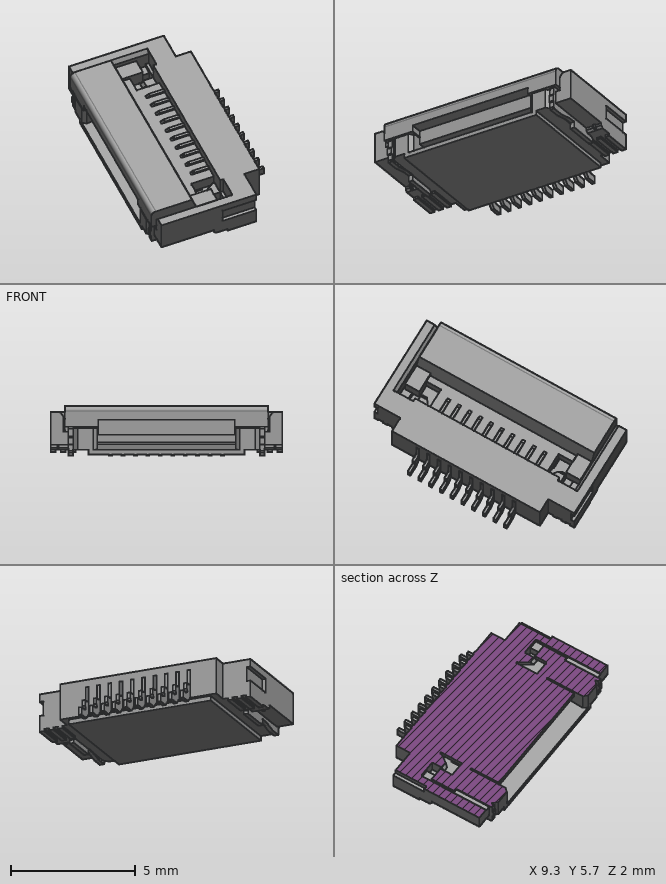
import cadquery as cq


total_height = 2.0
housing_top = 1.76
housing_bottom = 0.23

housing_half_width = 4.65
arm_front = 0.195
shoulder_rear = 4.34
rear_half_width = 3.44
rear_face = 5.0
arm_bottom = 0.43
arm_bottom_rear = 2.49
arm_bottom_chamfer = 0.09
nub_front = 2.34
nub_half_width = 0.03
nub_center = 4.35
base_half_width = 3.13
base_rear = 4.845
base_bottom = 0.04

recess_depth = 0.16
recess_front = 2.86
recess_bottom = 0.83
recess_top = 1.43

foot_bottom = 0.14
foot_front = 3.09
foot_width = 0.2
foot_pitch = 0.4
feet_per_side = 3

block_half_width = 3.75
block_chamfer = 0.19
block_top = 1.09

opening_half_width = 4.14
opening_chamfer_width = 0.14
opening_chamfer_height = 0.18
opening_rear = 3.32
corner_inner = 3.36
corner_rear = 3.46
shelf_top = 0.97
ear_top = 1.02
ear_front = 2.88
ear_toe = 2.75
ear_toe_inner = 3.13
ear_curve_point = (2.79, 3.25)
ear_corner = (2.83, 3.18)
pit_floor = 0.86
well_floor = 0.56
step_floor = 0.88

slot_half_width = 2.78
slot_mouth_half_width = 2.94
slot_mouth_depth = 0.16
slot_ceiling = 0.83
ramp_top = 0.46
ramp_rear = 2.05
slot_step_top = 0.54
slot_rear = 2.79
side_gap_rear = 1.86

lid_half_width = 4.07
lid_bottom = 1.15
lid_round = 0.195
lid_top_rear = 1.78
lid_bevel_rear = 2.03
lid_arm_inner = 3.41
lid_arm_rear = 2.89
lid_arm_top = 1.47
tongue_half_width = 2.73
tongue_front = 0.53
tongue_top = 1.34
bar_rear = 2.325
notch_top = 1.43

contact_count = 10
contact_row_span = 4.48
contact_width = 0.13
contact_embed = 0.09
contact_tail_end = 5.7
solder_front = 5.23
solder_top = 0.32
tail_fillet = 0.15
tail_fillet_rear = 5.41
tail_fillet_top = 0.41
tail_notch_rear = 5.28
tail_knee_rear = 5.35
tail_knee_bottom = 0.5
tail_knee_top = 0.75
stem_rear = 5.03
stem_fillet = 0.1
stem_top = 1.43
contact_front = 2.52
contact_bevel = 0.15
contact_top = 1.41

plate_thickness = 0.19
plate_front = 0.06
plate_bump_front = 0.01
plate_toe = 0.12
plate_rear = 2.86
pad_front = 1.6
pad_rear = 3.0
plate_inner = block_half_width
plate_outer = plate_inner + plate_thickness


def box(x0, x1, y0, y1, z0, z1):
    return cq.Workplane("XY").box(x1 - x0, y1 - y0, z1 - z0, centered=False).translate((x0, y0, z0))


def wide_box(half_width, y0, y1, z0, z1):
    return box(-half_width, half_width, y0, y1, z0, z1)


def side_profile(points, x0, x1):
    """Extrude a (Y, Z) outline from x0 to x1."""
    return cq.Workplane("YZ").polyline(points).close().extrude(x1 - x0).translate((x0, 0, 0))


def plan_profile(points, z0, z1):
    """Extrude an (X, Y) outline from z0 to z1."""
    return cq.Workplane("XY").polyline(points).close().extrude(z1 - z0).translate((0, 0, z0))


def both_sides(solid):
    return solid.union(solid.mirror("YZ"))


def housing_shell():
    shell = wide_box(housing_half_width, arm_front, shoulder_rear, housing_bottom, housing_top)
    shell = shell.union(wide_box(rear_half_width, shoulder_rear, rear_face, housing_bottom, housing_top))
    arm_relief = side_profile(
        [
            (arm_front, housing_bottom),
            (arm_front, arm_bottom),
            (arm_bottom_rear, arm_bottom),
            (arm_bottom_rear, housing_bottom + arm_bottom_chamfer),
            (arm_bottom_rear + arm_bottom_chamfer, housing_bottom),
        ],
        block_half_width,
        housing_half_width,
    )
    recess = box(
        housing_half_width - recess_depth, housing_half_width,
        recess_front, shoulder_rear, recess_bottom, recess_top,
    )
    return shell.cut(both_sides(arm_relief)).cut(both_sides(recess))


def underside_nubs():
    radius = (arm_bottom - housing_bottom) / 2
    nub = (
        cq.Workplane("YZ")
        .moveTo(arm_bottom_rear + arm_bottom_chamfer, housing_bottom)
        .lineTo(nub_front + radius, housing_bottom)
        .threePointArc((nub_front, housing_bottom + radius), (nub_front + radius, arm_bottom))
        .lineTo(arm_bottom_rear + arm_bottom_chamfer, arm_bottom)
        .close()
        .extrude(2 * nub_half_width)
        .translate((nub_center - nub_half_width, 0, 0))
    )
    return both_sides(nub)


def mounting_feet():
    feet = cq.Workplane("XY")
    for index in range(feet_per_side):
        outer = housing_half_width - index * foot_pitch
        foot = box(outer - foot_width, outer, foot_front, shoulder_rear, foot_bottom, housing_bottom)
        feet = feet.union(both_sides(foot))
    return feet


def top_opening():
    opening = wide_box(opening_half_width, arm_front, opening_rear, lid_bottom, housing_top)
    gutter = box(block_half_width, opening_half_width, arm_front, bar_rear, shelf_top, housing_top)
    corner = box(corner_inner, opening_half_width, opening_rear, corner_rear, ear_top, housing_top)
    lead_in = (
        cq.Workplane("XZ")
        .polyline(
            [
                (opening_half_width, housing_top),
                (opening_half_width + opening_chamfer_width, housing_top),
                (opening_half_width, housing_top - opening_chamfer_height),
            ]
        )
        .close()
        .extrude(arm_front - corner_rear)
        .translate((0, arm_front, 0))
    )
    opening = opening.union(both_sides(gutter)).union(both_sides(corner)).union(both_sides(lead_in))

    inner_pit = box(tongue_half_width, block_half_width, bar_rear, opening_rear, pit_floor, lid_bottom)
    outer_pit = box(block_half_width, opening_half_width, bar_rear, opening_rear, step_floor, lid_bottom)
    well = box(corner_inner, block_half_width, ear_toe, opening_rear, well_floor, pit_floor)
    return opening.union(both_sides(inner_pit)).union(both_sides(outer_pit)).union(both_sides(well))


def ears():
    """Curved ledges beside the tongue with a front face sloping down and forward."""
    ledge = (
        cq.Workplane("XY")
        .moveTo(slot_half_width, opening_rear)
        .threePointArc(ear_curve_point, ear_corner)
        .lineTo(ear_toe_inner, ear_toe)
        .lineTo(corner_inner, ear_toe)
        .lineTo(corner_inner, opening_rear)
        .close()
        .extrude(ear_top - pit_floor)
        .translate((0, 0, pit_floor))
    )
    slope = side_profile(
        [(ear_toe, pit_floor), (ear_toe, ear_top), (ear_front, ear_top)],
        slot_half_width,
        corner_inner,
    )
    return both_sides(ledge.cut(slope))


def front_block():
    outline = [
        (-block_half_width, arm_front),
        (block_chamfer - block_half_width, 0),
        (block_half_width - block_chamfer, 0),
        (block_half_width, arm_front),
    ]
    block = plan_profile(outline, housing_bottom, block_top)
    return block.union(wide_box(base_half_width, 0, base_rear, base_bottom, housing_bottom))


def cable_slot():
    profile = [
        (0, housing_bottom),
        (ramp_rear, ramp_top),
        (ramp_rear, slot_step_top),
        (slot_rear, slot_step_top),
        (slot_rear, slot_ceiling),
        (tongue_front, slot_ceiling),
        (tongue_front, lid_bottom),
        (0, lid_bottom),
    ]
    passage = [
        (-slot_mouth_half_width, 0),
        (slot_mouth_half_width, 0),
        (slot_half_width, slot_mouth_depth),
        (slot_half_width, slot_rear),
        (-slot_half_width, slot_rear),
        (-slot_half_width, slot_mouth_depth),
    ]
    slot = side_profile(profile, -slot_mouth_half_width, slot_mouth_half_width)
    side_gap = box(tongue_half_width, slot_half_width, tongue_front, side_gap_rear, slot_ceiling, lid_bottom)
    return slot.intersect(plan_profile(passage, housing_bottom, lid_bottom)).union(both_sides(side_gap))


def lid():
    cover = (
        cq.Workplane("YZ")
        .moveTo(0, lid_bottom)
        .lineTo(0, total_height - lid_round)
        .radiusArc((lid_round, total_height), lid_round)
        .lineTo(lid_top_rear, total_height)
        .lineTo(lid_bevel_rear, tongue_top)
        .lineTo(lid_bevel_rear, lid_bottom)
        .close()
        .extrude(2 * lid_half_width)
        .translate((-lid_half_width, 0, 0))
    )
    notch = wide_box(tongue_half_width, 0, tongue_front, lid_bottom, notch_top)
    arm = box(lid_arm_inner, lid_half_width, lid_top_rear, lid_arm_rear, pit_floor, lid_arm_top)
    bar = wide_box(lid_arm_inner, lid_top_rear, bar_rear, lid_bottom, tongue_top)
    tongue = wide_box(tongue_half_width, tongue_front, opening_rear, slot_ceiling, tongue_top)
    return cover.cut(notch).union(both_sides(arm)).union(bar).union(tongue)


def contact(x_center):
    embedded = rear_face - contact_embed
    tail = (
        cq.Workplane("YZ")
        .moveTo(embedded, housing_bottom)
        .lineTo(rear_face, housing_bottom)
        .lineTo(solder_front, 0)
        .lineTo(contact_tail_end, 0)
        .lineTo(contact_tail_end, solder_top)
        .lineTo(tail_fillet_rear, solder_top)
        .radiusArc((tail_notch_rear, tail_fillet_top), tail_fillet)
        .lineTo(tail_knee_rear, tail_knee_bottom)
        .lineTo(tail_knee_rear, tail_knee_top)
        .lineTo(stem_rear + stem_fillet, tail_knee_top)
        .radiusArc((stem_rear, tail_knee_top + stem_fillet), stem_fillet)
        .lineTo(stem_rear, stem_top)
        .lineTo(embedded, stem_top)
        .close()
        .extrude(contact_width)
    )
    beam = side_profile(
        [
            (contact_front, tongue_top),
            (contact_front + contact_bevel, contact_top),
            (opening_rear, contact_top),
            (opening_rear, tongue_top),
        ],
        0,
        contact_width,
    )
    return tail.union(beam).translate((x_center - contact_width / 2, 0, 0))


def hold_downs():
    outline = [
        (0.09, lid_bottom),
        (plate_front, 1.08),
        (plate_front, 0.78),
        (plate_bump_front, 0.72),
        (plate_bump_front, 0.46),
        (plate_front, 0.43),
        (plate_front, 0.195),
        (0.08, plate_toe),
        (0.62, plate_toe),
        (1.05, 0.21),
        (1.21, 0.25),
        (pad_front, 0.27),
        (pad_front, 0),
        (pad_rear, 0),
        (pad_rear, 0.14),
        (plate_rear, housing_bottom),
        (plate_rear, step_floor),
        (lid_bevel_rear, lid_bottom),
    ]
    return both_sides(side_profile(outline, plate_inner, plate_outer))


result = housing_shell().cut(top_opening())
result = result.union(ears()).union(front_block()).union(lid()).cut(cable_slot())
result = result.union(underside_nubs()).union(mounting_feet()).union(hold_downs())

contact_pitch = contact_row_span / (contact_count - 1)
for contact_index in range(contact_count):
    result = result.union(contact(contact_index * contact_pitch - contact_row_span / 2))